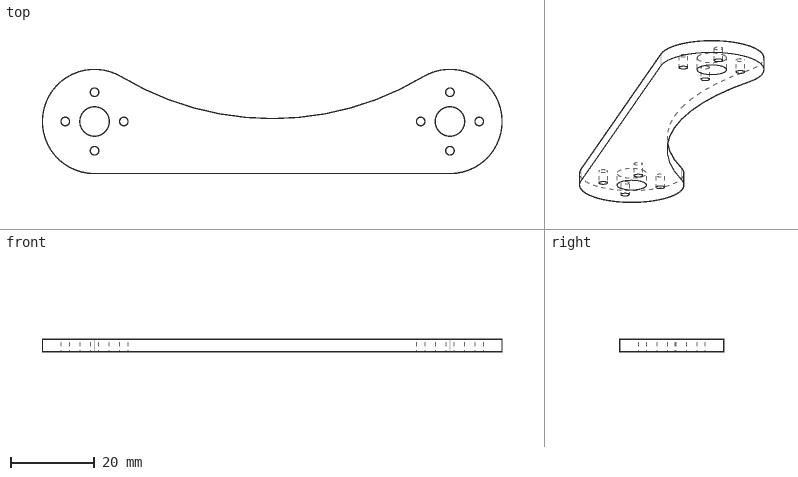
import cadquery as cq
import math

thickness = 3.0
hub_spacing = 85.0
hub_radius = 12.5
waist_radius = 70.0
bore_diameter = 7.0
screw_hole_diameter = 2.0
screw_circle_radius = 7.0
screw_hole_count = 4

hub_x = hub_spacing / 2
hub_centers = [(-hub_x, 0), (hub_x, 0)]

center_distance = waist_radius + hub_radius
waist_center_y = math.sqrt(center_distance**2 - hub_x**2)
waist_low_y = waist_center_y - waist_radius
tangent_x = hub_x * waist_radius / center_distance
tangent_y = waist_center_y * hub_radius / center_distance


def make_plate():
    """Link plate: straight lower edge, round ends and a concave upper edge."""
    return (
        cq.Workplane("XY")
        .moveTo(-hub_x, -hub_radius)
        .lineTo(hub_x, -hub_radius)
        .threePointArc((hub_x + hub_radius, 0), (tangent_x, tangent_y))
        .threePointArc((0, waist_low_y), (-tangent_x, tangent_y))
        .threePointArc((-hub_x - hub_radius, 0), (-hub_x, -hub_radius))
        .close()
        .extrude(thickness)
    )


def cut_hub_holes(plate, hub_center):
    """Cut the central bore and its ring of screw holes through one hub."""
    hub_plane = cq.Workplane("XY").center(*hub_center)
    bore = hub_plane.circle(bore_diameter / 2).extrude(thickness)
    screw_holes = (
        hub_plane
        .polarArray(screw_circle_radius, 0, 360, screw_hole_count)
        .circle(screw_hole_diameter / 2)
        .extrude(thickness)
    )
    return plate.cut(bore).cut(screw_holes)


result = make_plate()
for center in hub_centers:
    result = cut_hub_holes(result, center)